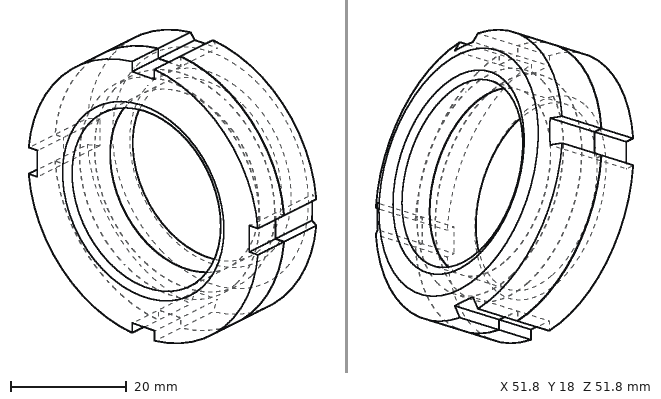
import cadquery as cq
import math

overall_width = 51.75
bore_diameter = 33.55
total_length = 18.0
front_length = 7.0

bore_chamfer_radial = 1.45
bore_chamfer_axial = 0.85
rim_chamfer_radial = 3.9
rim_chamfer_axial = 2.3

slot_count = 4
slot_width = 5.0
slot_floor_radius = 23.95

spigot_length = 4.05
spigot_radius = 20.35
ring_gap = 0.1

outer_radius = math.hypot(overall_width / 2, slot_width / 2)
bore_radius = bore_diameter / 2
front_face = -total_length / 2
rear_face = total_length / 2
front_ring_end = front_face + front_length
spigot_end = front_ring_end + spigot_length
rear_ring_start = front_ring_end + ring_gap
recess_floor = spigot_end + ring_gap


def revolve_about_y(profile_points):
    """Revolve a closed (radius, y) profile once around the Y axis."""
    profile = cq.Workplane("XY").polyline(profile_points).close()
    return profile.revolve(360, (0, 0, 0), (0, 1, 0))


def cut_spanner_slots(ring):
    """Cut the equally spaced, flat-bottomed axial slots in the outer surface."""
    cutter_depth = 2 * (outer_radius - slot_floor_radius)
    cutter = (
        cq.Workplane("XY")
        .box(cutter_depth, total_length, slot_width)
        .translate((slot_floor_radius + cutter_depth / 2, 0, 0))
    )
    for index in range(slot_count):
        angle = index * 360 / slot_count
        ring = ring.cut(cutter.rotate((0, 0, 0), (0, 1, 0), angle))
    return ring


def make_front_ring():
    """Front ring: bore lead-in chamfer, and a spigot that reaches into the rear ring."""
    ring = revolve_about_y([
        (bore_radius + bore_chamfer_radial, front_face),
        (outer_radius, front_face),
        (outer_radius, front_ring_end),
        (spigot_radius, front_ring_end),
        (spigot_radius, spigot_end),
        (bore_radius, spigot_end),
        (bore_radius, front_face + bore_chamfer_axial),
    ])
    return cut_spanner_slots(ring)


def make_rear_ring():
    """Rear ring: bevelled outer rim, bore chamfer, and a recess that seats the spigot."""
    ring = revolve_about_y([
        (spigot_radius, rear_ring_start),
        (outer_radius, rear_ring_start),
        (outer_radius, rear_face - rim_chamfer_axial),
        (outer_radius - rim_chamfer_radial, rear_face),
        (bore_radius + bore_chamfer_radial, rear_face),
        (bore_radius, rear_face - bore_chamfer_axial),
        (bore_radius, recess_floor),
        (spigot_radius, recess_floor),
    ])
    return cut_spanner_slots(ring)


front_ring = make_front_ring()
rear_ring = make_rear_ring()

result = cq.Compound.makeCompound([front_ring.val(), rear_ring.val()])